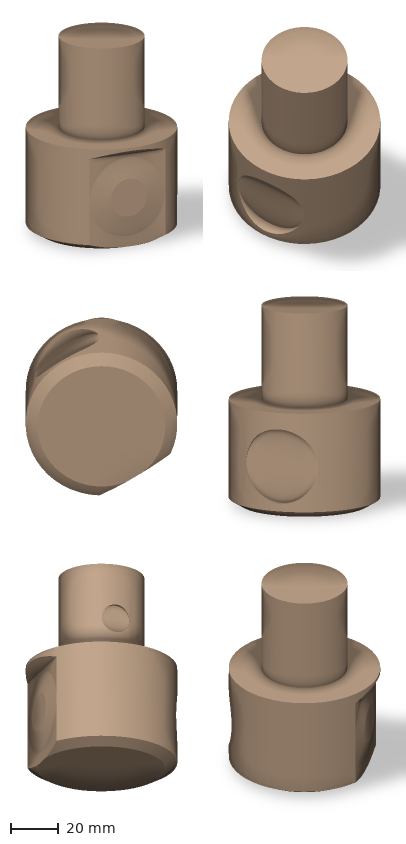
import cadquery as cq
import math

head_diameter = 63.5
head_height = 45.0
stem_diameter = 36.0
total_height = 85.0
head_radius = head_diameter / 2
stem_radius = stem_diameter / 2

bevel_width = 5.0
bevel_angle = 30.0
bevel_height = bevel_width * math.tan(math.radians(bevel_angle))

cutter_margin = 1.0

flat_x = 26.5
roof_start_height = 40.6
roof_angle = 30.0

cross_axis_height = 22.0
recess_diameter = 32.0
recess_depth = 4.5
cone_base_diameter = 34.5
cone_top_diameter = 16.5
cone_height = 1.6

spot_diameter = 12.3
spot_depth = 1.5
spot_height = 61.0


def make_turned_body():
    """Head, bevel and stem as one revolved profile (radius, height)."""
    profile = [
        (0, 0),
        (head_radius - bevel_width, 0),
        (head_radius, bevel_height),
        (head_radius, head_height),
        (stem_radius, head_height),
        (stem_radius, total_height),
        (0, total_height),
    ]
    return cq.Workplane("XZ").polyline(profile).close().revolve(360, (0, 0), (0, 1))


def make_flat_cutter():
    """Prism along Y that leaves the flat and its sloping roof."""
    outer_x = head_radius + cutter_margin
    roof_rise = (outer_x - flat_x) * math.tan(math.radians(roof_angle))
    section = [
        (flat_x, 0),
        (outer_x, 0),
        (outer_x, roof_start_height + roof_rise),
        (flat_x, roof_start_height),
    ]
    return cq.Workplane("XZ").polyline(section).close().extrude(head_radius, both=True)


def make_cone_boss():
    """Shallow truncated cone standing on the flat, pointing toward +X."""
    cone = cq.Solid.makeCone(
        cone_base_diameter / 2,
        cone_top_diameter / 2,
        cone_height,
        cq.Vector(flat_x, 0, cross_axis_height),
        cq.Vector(1, 0, 0),
    )
    return cq.Workplane(obj=cone)


def make_recess_cutter():
    """Flat-bottomed round pocket, open toward -X."""
    return (
        cq.Workplane("YZ", origin=(-head_radius, 0, 0))
        .center(0, cross_axis_height)
        .circle(recess_diameter / 2)
        .extrude(recess_depth)
    )


def make_spot_cutter():
    """Flat-bottomed round spot, open toward +Y."""
    return (
        cq.Workplane("XZ", origin=(0, stem_radius, 0))
        .center(0, spot_height)
        .circle(spot_diameter / 2)
        .extrude(spot_depth)
    )


result = (
    make_turned_body()
    .cut(make_flat_cutter())
    .union(make_cone_boss())
    .cut(make_recess_cutter())
    .cut(make_spot_cutter())
)